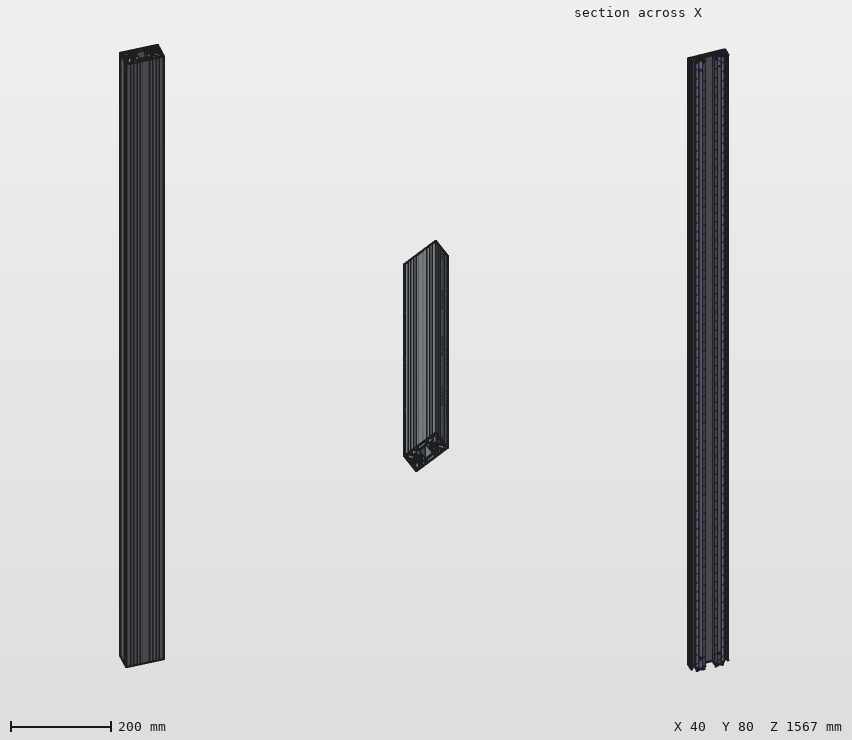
import cadquery as cq

total_length = 1567.0
profile_depth = 80.0
cell_count = 2
cell = profile_depth / cell_count

head_diameter = 17.0
collar_diameter = 13.5
collar_height = 3.9
head_height = 3.9
shank_diameter = 7.5
shank_length = 24.0
recess_diameter = 12.0
recess_depth = 2.0
socket_diameter = 5.0
socket_depth = 3.0

profile_length = total_length - 2 * (collar_height + head_height)
profile_bottom = -profile_length / 2
core_positions = [(index - (cell_count - 1) / 2) * cell for index in range(cell_count)]

wall = 2.0
skin_face = cell / 2 - wall
slot_neck_width = 8.0
slot_lip = 5.0
slot_width = 17.0
slot_side = 2.0
slot_depth = 10.0
slot_floor_width = 13.0
corner_start = 9.9
hollow_width = 20.0
hollow_height = 19.0
side_chamber_inner = 13.0
side_chamber_width = 20.0
side_chamber_roof_width = 11.0
side_chamber_slope = 0.3


def prism(points):
    """A prism as long as the profile on a closed outline."""
    base = cq.Workplane("XY", origin=(0, 0, profile_bottom))
    return base.polyline(points).close().extrude(profile_length)


def mirrored_outline(half):
    """The outline made of half an outline and its mirror image across the X axis."""
    return half + [(x, -y) for x, y in reversed(half)]


def turned(shape, angle):
    return shape.rotate((0, 0, 0), (0, 0, 1), angle)


def make_slot():
    """T-slot cavity closed by the skin on its +X side."""
    face = cell / 2
    return prism(mirrored_outline([
        (skin_face, slot_neck_width / 2),
        (face - slot_lip, slot_neck_width / 2),
        (face - slot_lip, slot_width / 2),
        (face - slot_lip - slot_side, slot_width / 2),
        (face - slot_depth, slot_floor_width / 2),
    ]))


def make_corner_chamber():
    """Triangular chamber in the +X +Y corner of a cell."""
    return prism([(corner_start, skin_face), (skin_face, skin_face), (skin_face, corner_start)])


def make_side_chamber():
    """Chamber between the two cells on the +X side."""
    return prism(mirrored_outline([
        (skin_face, side_chamber_roof_width / 2),
        (skin_face - side_chamber_slope, side_chamber_width / 2),
        (side_chamber_inner, side_chamber_width / 2),
    ]))


def make_profile():
    body = cq.Workplane("XY").box(cell, profile_depth, profile_length)
    body = body.cut(cq.Workplane("XY").box(hollow_width, hollow_height, profile_length))

    cell_y = core_positions[-1]
    for angle in (0, 180):
        body = body.cut(turned(make_side_chamber(), angle))
        cavities = [turned(make_slot(), slot_angle) for slot_angle in (0, 90, 180)]
        cavities += [turned(make_corner_chamber(), corner_angle) for corner_angle in (0, 90)]
        for cavity in cavities:
            body = body.cut(turned(cavity.translate((0, cell_y, 0)), angle))

    bores = (
        cq.Workplane("XY", origin=(0, 0, profile_bottom))
        .pushPoints([(0, y) for y in core_positions])
        .circle(shank_diameter / 2)
        .extrude(profile_length)
    )
    return body.cut(bores)


def disc(diameter, bottom, height):
    return cq.Workplane("XY", origin=(0, 0, bottom)).circle(diameter / 2).extrude(height)


def make_screw():
    """Screw with its head up and its seat on the plane Z = 0."""
    top = collar_height + head_height
    shank = disc(shank_diameter, -shank_length, shank_length)
    collar = disc(collar_diameter, 0, collar_height)
    head = disc(head_diameter, collar_height, head_height)
    recess = disc(recess_diameter, top - recess_depth, recess_depth)
    socket = disc(socket_diameter, top - recess_depth - socket_depth, socket_depth)
    return shank.union(collar).union(head).cut(recess).cut(socket)


profile = make_profile()

screws = []
for y in core_positions:
    top_screw = make_screw().translate((0, y, profile_length / 2))
    bottom_screw = top_screw.mirror("XY")
    screws += [top_screw.val(), bottom_screw.val()]

result = cq.Compound.makeCompound([profile.val(), *screws])